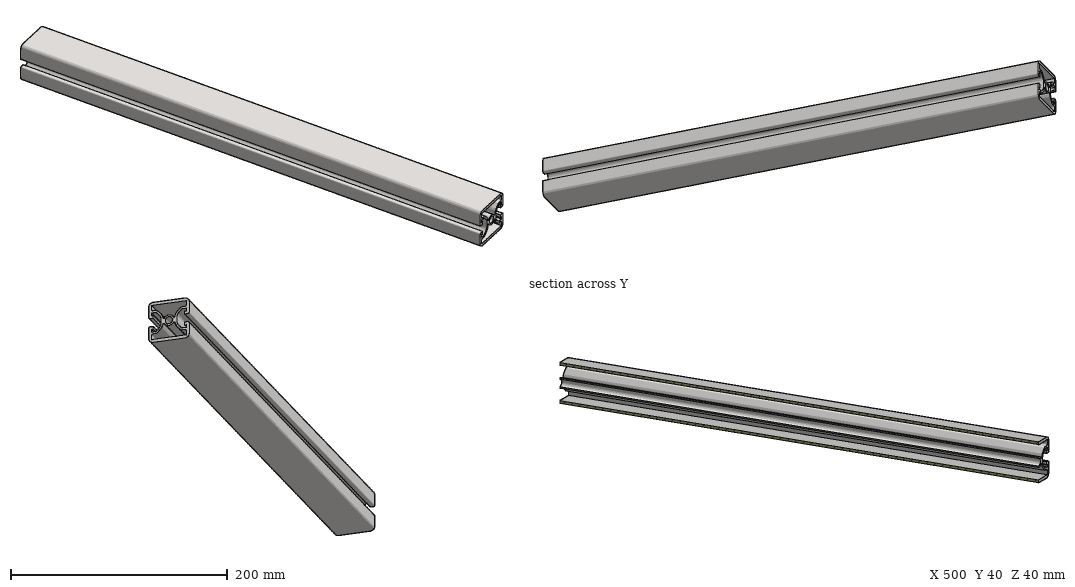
import cadquery as cq
import math

length = 500.0
side = 40.0
half_side = side / 2
corner_radius = 4.5

wall = 3.0
inner_half = half_side - wall

slot_half_width = 4.0
lip_depth = 4.5
lip_rise = 3.0
lip_edge_radius = 1.5
slot_half_height = 9.5
slot_depth = 12.0
slot_floor = half_side - slot_depth
slot_floor_half_height = 4.75
slot_bend_radius = 1.5
slot_floor_radius = 4.5

web = 2.0
web_root_radius = 1.5
web_bend_radius = 3.0

cavity_floor = 2.5
pocket_radius = 1.0

bore_radius = 3.5
tube_wall = 1.75
tube_radius = bore_radius + tube_wall


def extrude_profile(profile):
    """Extrude a closed profile in the YZ plane over the full length, centred on X = 0."""
    return profile.extrude(length / 2, both=True)


def extrude_outline(points):
    """Extrude the closed polygon through the given (Y, Z) points."""
    return extrude_profile(cq.Workplane("YZ").polyline(points).close())


def fillet_at(solid, y, z, radius):
    """Round the lengthwise edge that passes through (y, z)."""
    return solid.edges(cq.selectors.NearestToPointSelector((0, y, z))).fillet(radius)


def make_slot():
    """T-slot cutter open to +Y."""
    lip_inner = half_side - lip_depth
    flank_end = slot_floor + slot_half_height - slot_floor_half_height
    upper = [
        (half_side, slot_half_width),
        (lip_inner, slot_half_width),
        (lip_inner, slot_half_width + lip_rise),
        (inner_half, slot_half_width + lip_rise),
        (inner_half, slot_half_height),
        (flank_end, slot_half_height),
        (slot_floor, slot_floor_half_height),
    ]
    lower = [(y, -z) for y, z in reversed(upper)]
    slot = extrude_outline(upper + lower)
    for z in (slot_half_height, -slot_half_height):
        slot = fillet_at(slot, flank_end, z, slot_bend_radius)
    for z in (slot_floor_half_height, -slot_floor_half_height):
        slot = fillet_at(slot, slot_floor, z, slot_floor_radius)
    return slot


def make_cavity():
    """Upper hollow between the top wall, the side walls and the webs."""
    web_top = slot_half_height + web
    web_side = slot_floor - web
    web_line = slot_floor - slot_floor_half_height - web * math.sqrt(2)
    bend = web_top + web_line
    web_foot = web_side - web_line
    right = [
        (web_side, cavity_floor),
        (web_side, web_foot),
        (bend, web_top),
        (inner_half, web_top),
        (inner_half, inner_half),
    ]
    left = [(-y, z) for y, z in reversed(right)]
    cavity = extrude_outline(right + left)
    for sign in (1, -1):
        cavity = fillet_at(cavity, sign * web_side, web_foot, slot_floor_radius + web)
        cavity = fillet_at(cavity, sign * web_side, cavity_floor, pocket_radius)
        cavity = fillet_at(cavity, sign * bend, web_top, web_bend_radius)
        cavity = fillet_at(cavity, sign * inner_half, web_top, web_root_radius)
    return cavity


body = extrude_profile(cq.Workplane("YZ").rect(side, side))
body = body.edges("|X").fillet(corner_radius)

slot = make_slot()
body = body.cut(slot).cut(slot.mirror("XZ"))
for y in (half_side, -half_side):
    for z in (slot_half_width, -slot_half_width):
        body = fillet_at(body, y, z, lip_edge_radius)

cavity = make_cavity()
body = body.cut(cavity).cut(cavity.mirror("XY"))

tube = extrude_profile(cq.Workplane("YZ").circle(tube_radius))
bore = extrude_profile(cq.Workplane("YZ").circle(bore_radius))
result = body.union(tube).cut(bore)